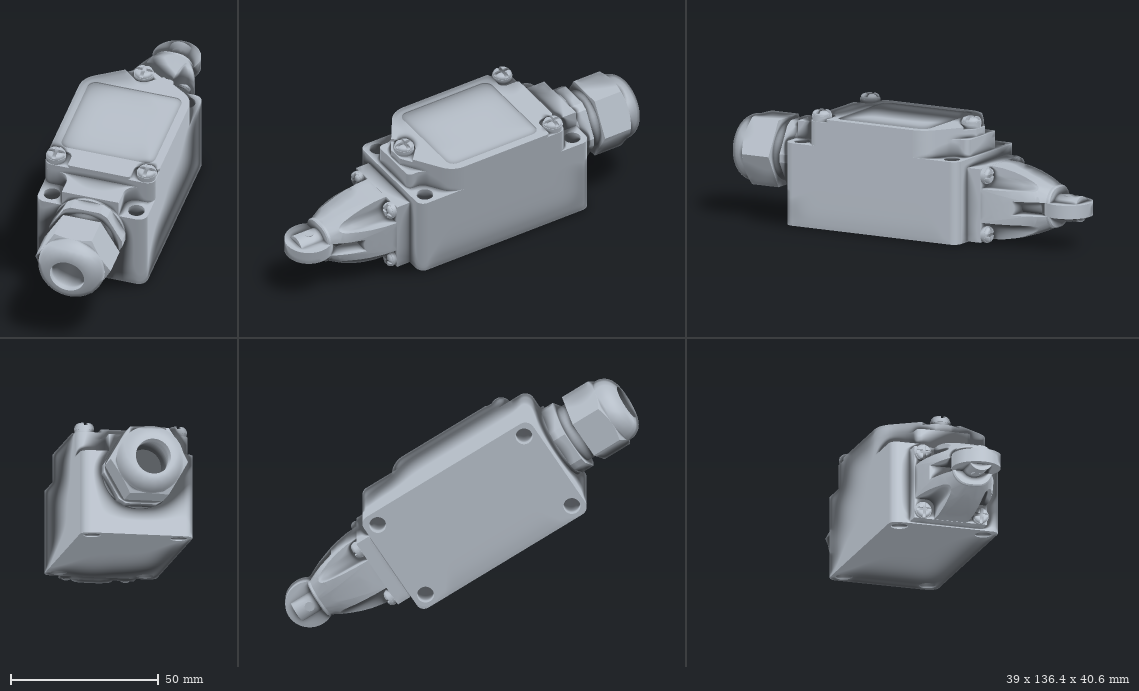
import cadquery as cq
import math


TOTAL_LENGTH = 136.4
WIDTH = 39.0

HOUSING_LENGTH = 68.3
LEDGE_Z = 28.6
SEAM_Z = 34.5
FRONT_CORNER_RADIUS = 3.3
REAR_CORNER_RADIUS = 2.9
HOLE_SPACING_X = 30.0
HOLE_SPACING_Y = 59.2
HOLE_DIAMETER = 5.7
GLAND_BLOCK_WIDTH = 20.2
STEP_FILLET = 4.1
EAR_WIDTH = 19.4
EAR_LENGTH = 8.2
EAR_SETBACK = 1.4
EAR_CORNER_RADIUS = 1.8

COVER_TOP_Z = 38.2
COVER_FRONT_Y = 9.7
COVER_CORNER_RADIUS = 2.9
SHOULDER_RADIUS = 8.0
SHOULDER_SETBACK = 13.2
NOSE_SETBACK = 2.2
NOSE_WIDTH = 5.7
PANEL_WIDTH = 33.3
PANEL_LENGTH = 35.9
PANEL_FRONT_Y = 18.5
PANEL_CORNER_RADIUS = 3.0
PANEL_DEPTH = 0.4

SCREW_BASE_SHARE = 0.3
SCREW_FLANGE_SHARE = 0.57
SCREW_ROUNDING_SHARE = 0.4
SCREW_SLOT_DEPTH_SHARE = 0.3
SCREW_CAP_SHARE = 0.95
SCREW_SLOT_SHARE = 0.4

SCREW_RADIUS = 3.4
SCREW_HEIGHT = 3.5
SEAT_Z = 37.1
SIDE_SEAT_LENGTH = 8.5
SIDE_SEAT_CORNER_RADIUS = 2.3
SIDE_SEAT_FLARE = 1.0
NOSE_SEAT_RADIUS = 3.8
NOSE_SEAT_ANGLE = 41
SIDE_SCREW_X = WIDTH / 2 - SCREW_RADIUS
SIDE_SCREW_Y = 13.1
NOSE_SCREW_SETBACK = 5.7

HEAD_WIDTH = 26.0
HEAD_HEIGHT = 25.5
HEAD_BASE_LENGTH = 4.9
HEAD_LIP_LENGTH = 0.4
HEAD_LIP_INSET = 0.3
HEAD_Z = 13.1
DOME_BASE_HALF = 12.7
DOME_TIP_HALF = 7.2
DOME_LENGTH = 22.5
DOME_BASE_FLAT_HALF = 5.6
DOME_TIP_FLAT_HALF = 1.4
DOME_SECTIONS = 5
DOME_CAP_LENGTH = 1.2
DOME_CAP_CHAMFER = 0.4
POCKET_OFFSET = 5.9
POCKET_FILLET = 3.0
HEAD_SCREW_OFFSET = 10.2
HEAD_SCREW_RADIUS = 2.9
HEAD_SCREW_HEIGHT = 2.7

ROLLER_DIAMETER = 16.6
ROLLER_THICKNESS = 4.6
ROLLER_SIDE_GAP = 0.1
SLOT_DEPTH = 12.4
PLUNGER_DIAMETER = 8.9
PLUNGER_OVERHANG = 5.2
PIN_DIAMETER = 3.4

GLAND_Z = 21.3
COLLAR_DIAMETER = 25.1
COLLAR_LENGTH = 1.1
LOCK_HEX_FLATS = 23.7
LOCK_HEX_CORNERS = 25.8
LOCK_HEX_LENGTH = 4.5
NECK_DIAMETER = 20.5
NECK_LENGTH = 4.1
NUT_FLATS = 23.2
NUT_LENGTH = 11.5
GLAND_DOME_LENGTH = 6.0
GLAND_DOME_FILLET = 5.5
NUT_CHAMFER = 1.1
CABLE_HOLE_DIAMETER = 12.1
CABLE_HOLE_DEPTH = GLAND_DOME_LENGTH + NUT_LENGTH

GLAND_LENGTH = COLLAR_LENGTH + LOCK_HEX_LENGTH + NECK_LENGTH + NUT_LENGTH + GLAND_DOME_LENGTH
ROLLER_Y = TOTAL_LENGTH - GLAND_LENGTH - ROLLER_DIAMETER / 2
DOME_BASE_Y = HOUSING_LENGTH + HEAD_LIP_LENGTH + HEAD_BASE_LENGTH
DOME_TIP_Y = DOME_BASE_Y + DOME_LENGTH + DOME_CAP_LENGTH
SLOT_END_Y = DOME_TIP_Y - SLOT_DEPTH
SLOT_HEIGHT = ROLLER_THICKNESS + 2 * ROLLER_SIDE_GAP
SIGNS = (-1, 1)
EDGE_MARGIN = 0.1
SIDE_SCREW_POINTS = [(side * SIDE_SCREW_X, SIDE_SCREW_Y) for side in SIGNS]
NOSE_SCREW_POINT = (0, HOUSING_LENGTH - NOSE_SCREW_SETBACK)


def block(x_size, y_range, z_range, x_center=0):
    """Box given by its width, its Y range and its Z range."""
    y_start, y_end = y_range
    z_start, z_end = z_range
    corner = (x_center - x_size / 2, y_start, z_start)
    return cq.Workplane("XY").box(x_size, y_end - y_start, z_end - z_start, centered=False).translate(corner)


def box_around(x, y_range, z_range):
    """Selector for the edges whose centres lie at the given X within the Y and Z ranges."""
    y_start, y_end = y_range
    z_start, z_end = z_range
    return cq.selectors.BoxSelector((x - EDGE_MARGIN, y_start, z_start), (x + EDGE_MARGIN, y_end, z_end))


def plane_facing_y(y, z):
    """Work plane facing +Y, with its origin on the centre line at the given Y and Z."""
    return cq.Workplane(cq.Plane((0, y, z), xDir=(-1, 0, 0), normal=(0, 1, 0)))


def cover_prism(z_start, z_end):
    """Five-sided outline with a blunt nose, shared by the cover and the housing below it."""
    half = WIDTH / 2
    shoulder_y = HOUSING_LENGTH - SHOULDER_SETBACK
    nose_y = HOUSING_LENGTH - NOSE_SETBACK
    prism = (
        cq.Workplane("XY", origin=(0, 0, z_start))
        .polyline([
            (-half, COVER_FRONT_Y),
            (half, COVER_FRONT_Y),
            (half, shoulder_y),
            (NOSE_WIDTH / 2, nose_y),
            (-NOSE_WIDTH / 2, nose_y),
            (-half, shoulder_y),
        ])
        .close()
        .extrude(z_end - z_start)
    )
    for side in SIGNS:
        for y, radius in ((COVER_FRONT_Y, COVER_CORNER_RADIUS), (shoulder_y, SHOULDER_RADIUS)):
            corner = box_around(side * half, (y - EDGE_MARGIN, y + EDGE_MARGIN), (z_start, z_end))
            prism = prism.edges("|Z").edges(corner).fillet(radius)
    return prism


def make_housing():
    upper = (LEDGE_Z, SEAM_Z)
    base = block(WIDTH, (0, HOUSING_LENGTH), (0, LEDGE_Z))
    base = base.edges("|Z and <Y").fillet(FRONT_CORNER_RADIUS)
    base = base.edges("|Z and >Y").fillet(REAR_CORNER_RADIUS)

    ear_end = HOUSING_LENGTH - EAR_SETBACK
    ear = block(EAR_WIDTH, (ear_end - EAR_LENGTH, ear_end), upper)
    ear = ear.edges("|Z and >Y").fillet(EAR_CORNER_RADIUS)

    gland_block = block(GLAND_BLOCK_WIDTH, (0, COVER_FRONT_Y), upper)

    step = cover_prism(*upper).union(ear).union(gland_block)
    for joint_width, y_range in (
        (EAR_WIDTH, (ear_end - EAR_LENGTH, ear_end - EAR_CORNER_RADIUS - EDGE_MARGIN)),
        (GLAND_BLOCK_WIDTH, (COVER_FRONT_Y - EDGE_MARGIN, COVER_FRONT_Y + EDGE_MARGIN)),
    ):
        for side in SIGNS:
            joint = box_around(side * joint_width / 2, y_range, upper)
            step = step.edges("|Z").edges(joint).fillet(STEP_FILLET)

    housing = base.union(step)
    holes = (
        cq.Workplane("XY", origin=(0, HOUSING_LENGTH / 2, 0))
        .rect(HOLE_SPACING_X, HOLE_SPACING_Y, forConstruction=True)
        .vertices()
        .circle(HOLE_DIAMETER / 2)
        .extrude(SEAM_Z)
    )
    return housing.cut(holes)


def cut_side_seat(cover, side):
    """Sink a screw seat into a front corner of the cover, flared where it opens at the edges."""
    seat_end_y = SIDE_SCREW_Y + SCREW_RADIUS
    seat_inner_x = side * (WIDTH / 2 - SIDE_SEAT_LENGTH)
    seat_heights = (SEAT_Z, COVER_TOP_Z)
    seat_span = (COVER_FRONT_Y - SCREW_RADIUS, seat_end_y)
    seat = block(2 * SIDE_SEAT_LENGTH, seat_span, seat_heights, side * WIDTH / 2)
    cover = cover.cut(seat.edges("|Z and >Y").fillet(SIDE_SEAT_CORNER_RADIUS))
    for x, y in ((seat_inner_x, COVER_FRONT_Y), (side * WIDTH / 2, seat_end_y)):
        rim = box_around(x, (y - EDGE_MARGIN, y + EDGE_MARGIN), seat_heights)
        cover = cover.edges("|Z").edges(rim).fillet(SIDE_SEAT_FLARE)
    return cover


def nose_seat():
    """V-shaped screw seat, rounded about the nose screw and open towards the nose."""
    angle = math.radians(NOSE_SEAT_ANGLE)
    screw_y = NOSE_SCREW_POINT[1]
    tip_y = screw_y - NOSE_SEAT_RADIUS / math.cos(angle)
    reach = WIDTH / 2
    open_y = tip_y + reach * math.tan(angle)
    return (
        cq.Workplane("XY", origin=(0, 0, SEAT_Z))
        .polyline([(0, tip_y), (reach, open_y), (-reach, open_y)])
        .close()
        .extrude(COVER_TOP_Z - SEAT_Z)
        .edges("|Z and <Y")
        .fillet(NOSE_SEAT_RADIUS)
    )


def make_cover():
    cover = cover_prism(SEAM_Z, COVER_TOP_Z)

    panel = block(
        PANEL_WIDTH,
        (PANEL_FRONT_Y, PANEL_FRONT_Y + PANEL_LENGTH),
        (COVER_TOP_Z - PANEL_DEPTH, COVER_TOP_Z),
    )
    cover = cover.cut(panel.edges("|Z").fillet(PANEL_CORNER_RADIUS))

    cover = cover.cut(nose_seat())
    for side in SIGNS:
        cover = cut_side_seat(cover, side)
    return cover


def make_screw(radius, height):
    """Cross-slotted pan head standing on Z = 0: a base, a wider flange and a rounded cap."""
    flange_start = SCREW_BASE_SHARE * height
    flange_end = SCREW_FLANGE_SHARE * height
    cap_radius = SCREW_CAP_SHARE * radius
    slot_width = SCREW_SLOT_SHARE * radius
    slot_depth = SCREW_SLOT_DEPTH_SHARE * height

    core = cq.Workplane("XY").circle(cap_radius).extrude(height)
    core = core.faces(">Z").edges().fillet(SCREW_ROUNDING_SHARE * height)
    flange = cq.Workplane("XY", origin=(0, 0, flange_start)).circle(radius).extrude(flange_end - flange_start)
    screw = core.union(flange)
    for x_size, y_size in ((2 * radius, slot_width), (slot_width, 2 * radius)):
        screw = screw.cut(
            cq.Workplane("XY", origin=(0, 0, height - slot_depth)).rect(x_size, y_size).extrude(slot_depth)
        )
    return screw


def rounded_square(y, half, flat_half):
    """Rounded square across the head axis, each side straight up to flat_half from its middle."""
    sketch = cq.Sketch().rect(2 * half, 2 * half).vertices().fillet(half - flat_half)
    return plane_facing_y(y, HEAD_Z).placeSketch(sketch)


def make_dome():
    """Pointed dome: rounded squares whose half width follows an arc tangent to the head axis."""
    drop = DOME_BASE_HALF - DOME_TIP_HALF
    arc_radius = (DOME_LENGTH ** 2 + drop ** 2) / (2 * drop)
    slice_thickness = 1.4
    wires = []
    for index in range(DOME_SECTIONS):
        share = index / (DOME_SECTIONS - 1)
        distance = share * DOME_LENGTH
        half = DOME_BASE_HALF - arc_radius + math.sqrt(arc_radius ** 2 - distance ** 2)
        flat_half = DOME_BASE_FLAT_HALF + share * (DOME_TIP_FLAT_HALF - DOME_BASE_FLAT_HALF)
        slice_solid = rounded_square(DOME_BASE_Y + distance, half, flat_half).extrude(slice_thickness)
        wires.append(slice_solid.faces("<Y").val().outerWire())
    dome = cq.Workplane(obj=cq.Solid.makeLoft(wires))
    cap = rounded_square(DOME_BASE_Y + DOME_LENGTH, DOME_TIP_HALF, DOME_TIP_FLAT_HALF)
    cap = cap.extrude(DOME_CAP_LENGTH)
    return dome.union(cap.faces(">Y").edges().chamfer(DOME_CAP_CHAMFER))


def make_head():
    lip = (
        plane_facing_y(HOUSING_LENGTH, HEAD_Z)
        .rect(HEAD_WIDTH - 2 * HEAD_LIP_INSET, HEAD_HEIGHT - 2 * HEAD_LIP_INSET)
        .extrude(HEAD_LIP_LENGTH)
    )
    base = (
        plane_facing_y(HOUSING_LENGTH + HEAD_LIP_LENGTH, HEAD_Z)
        .rect(HEAD_WIDTH, HEAD_HEIGHT)
        .extrude(HEAD_BASE_LENGTH)
    )

    dome = make_dome()
    screw = make_screw(HEAD_SCREW_RADIUS, HEAD_SCREW_HEIGHT).rotate((0, 0, 0), (1, 0, 0), -90)
    pocket_center = POCKET_OFFSET + HEAD_WIDTH / 2
    pocket = (
        plane_facing_y(DOME_BASE_Y, HEAD_Z)
        .rect(2 * pocket_center, 2 * pocket_center, forConstruction=True)
        .vertices()
        .rect(HEAD_WIDTH, HEAD_WIDTH)
        .extrude(DOME_LENGTH)
        .edges("|Y")
        .fillet(POCKET_FILLET)
    )
    head = lip.union(base).union(dome.cut(pocket))
    for x_side in SIGNS:
        for z_side in SIGNS:
            place = (x_side * HEAD_SCREW_OFFSET, DOME_BASE_Y, HEAD_Z + z_side * HEAD_SCREW_OFFSET)
            head = head.union(screw.translate(place))

    slot = block(
        HEAD_WIDTH,
        (SLOT_END_Y, DOME_TIP_Y),
        (HEAD_Z - SLOT_HEIGHT / 2, HEAD_Z + SLOT_HEIGHT / 2),
    )
    bore = plane_facing_y(SLOT_END_Y, HEAD_Z).circle(PLUNGER_DIAMETER / 2).extrude(SLOT_DEPTH)
    return head.cut(slot).cut(bore)


def z_cylinder(diameter, length):
    """Cylinder on the roller axis, centred on the middle of the roller."""
    center = (0, ROLLER_Y, HEAD_Z - length / 2)
    return cq.Workplane("XY", origin=center).circle(diameter / 2).extrude(length)


def make_roller():
    return z_cylinder(ROLLER_DIAMETER, ROLLER_THICKNESS).cut(z_cylinder(PIN_DIAMETER, ROLLER_THICKNESS))


def make_plunger():
    """Round fork that straddles the roller, with the roller pin across it."""
    plunger_end_y = ROLLER_Y + PLUNGER_OVERHANG
    fork = (
        plane_facing_y(SLOT_END_Y, HEAD_Z).circle(PLUNGER_DIAMETER / 2).extrude(plunger_end_y - SLOT_END_Y)
    )
    gap = block(
        PLUNGER_DIAMETER,
        (ROLLER_Y - ROLLER_DIAMETER / 2, plunger_end_y),
        (HEAD_Z - ROLLER_THICKNESS / 2, HEAD_Z + ROLLER_THICKNESS / 2),
    )
    return fork.cut(gap).union(z_cylinder(PIN_DIAMETER, PLUNGER_DIAMETER))


def hexagon(workplane, flats, length):
    """Hexagonal prism with two flats level, given its size across flats."""
    return workplane.polygon(6, flats / math.cos(math.pi / 6)).extrude(length)


def make_gland():
    """Cable gland, built outwards from the housing face along -Y."""
    def section(distance):
        return cq.Workplane("XZ", origin=(0, -distance, GLAND_Z))

    hex_start = COLLAR_LENGTH
    neck_start = hex_start + LOCK_HEX_LENGTH
    nut_start = neck_start + NECK_LENGTH
    nut_end = nut_start + NUT_LENGTH

    collar = section(0).circle(COLLAR_DIAMETER / 2).extrude(COLLAR_LENGTH)
    corner_trim = hexagon(section(hex_start), LOCK_HEX_CORNERS, LOCK_HEX_LENGTH)
    corner_trim = corner_trim.rotate((0, 0, GLAND_Z), (0, 1, GLAND_Z), 30)
    lock_hex = hexagon(section(hex_start), LOCK_HEX_FLATS, LOCK_HEX_LENGTH).intersect(corner_trim)
    neck = section(neck_start).circle(NECK_DIAMETER / 2).extrude(NECK_LENGTH)

    nut_corner = NUT_FLATS / math.sqrt(3)
    turned = section(nut_start).circle(nut_corner).extrude(NUT_LENGTH)
    turned = turned.faces("<Y").edges().chamfer(NUT_CHAMFER, nut_corner - NUT_FLATS / 2)
    nut = hexagon(section(nut_start), NUT_FLATS, NUT_LENGTH).intersect(turned)
    dome = section(nut_end).circle(NUT_FLATS / 2).extrude(GLAND_DOME_LENGTH)
    dome = dome.faces("<Y").edges().fillet(GLAND_DOME_FILLET)
    gland = collar.union(lock_hex).union(neck).union(nut).union(dome)

    hole = (
        section(GLAND_LENGTH - CABLE_HOLE_DEPTH).circle(CABLE_HOLE_DIAMETER / 2).extrude(CABLE_HOLE_DEPTH)
    )
    return gland.cut(hole)


housing = make_housing()
cover = make_cover()
head = make_head()
plunger = make_plunger()
roller = make_roller()
gland = make_gland()
cover_screws = []
for screw_x, screw_y in [*SIDE_SCREW_POINTS, NOSE_SCREW_POINT]:
    cover_screw = make_screw(SCREW_RADIUS, SCREW_HEIGHT).translate((screw_x, screw_y, SEAT_Z))
    cover_screws.append(cover_screw.val())

result = cq.Compound.makeCompound([
    housing.val(),
    cover.val(),
    *cover_screws,
    head.val(),
    plunger.val(),
    roller.val(),
    gland.val(),
])